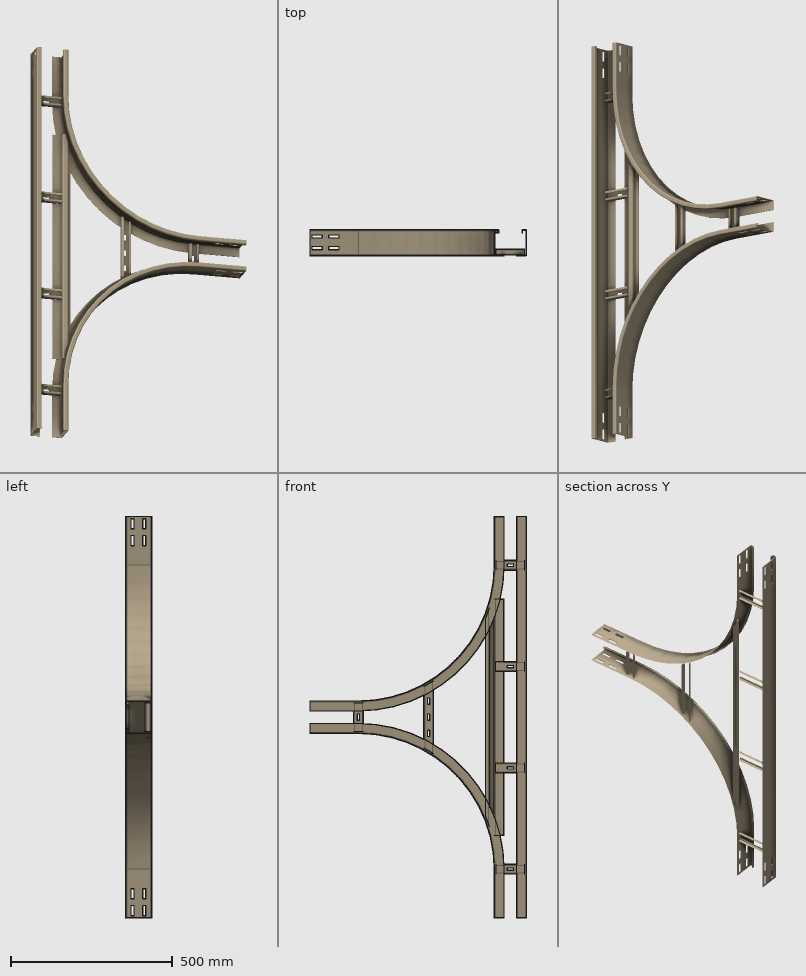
import cadquery as cq
import math

SHEET = 2.0
BEND = 1.5
TRAY_LENGTH = 1240.0
TRAY_DEPTH = 670.0
TRAY_WIDTH = 100.0
ARM_LENGTH = 150.0

RAIL_HEIGHT = 80.0
RAIL_FLANGE = 31.0
RAIL_LIP = 15.0
RAIL_RETURN = 10.0

WEB_SLOT_LENGTH = 31.0
WEB_SLOT_WIDTH = 9.0
WEB_SLOT_HEIGHTS = (24.0, 60.0)
WEB_SLOT_FROM_END = (22.0, 75.0)

WEB_CLEARANCE = 6.0

RUNG_WIDTH = 31.0
RUNG_HEIGHT = 19.0
RUNG_LIP = 7.0
RUNG_SLOT_LENGTH = 19.0
RUNG_SLOT_WIDTH = 6.0
RUNG_SLOT_PITCH = 50.0
MIDDLE_RUNG_X = 367.0

BEAM_LENGTH = 729.0
BEAM_X = 542.0
BEAM_NARROW_FLANGE = 14.0
BEAM_GAP = 14.0
BEAM_WIDE_FLANGE = 30.0
BEAM_RUNG_SEAT = 25.0

HALF_WIDTH = TRAY_WIDTH / 2
CURVED_RAIL_X = TRAY_DEPTH - TRAY_WIDTH
CURVE_RADIUS = CURVED_RAIL_X - ARM_LENGTH
CURVE_Z = HALF_WIDTH + CURVE_RADIUS
BEAM_END_X = BEAM_X + BEAM_NARROW_FLANGE + BEAM_GAP + BEAM_WIDE_FLANGE
TRAY_CENTRE_X = TRAY_DEPTH - HALF_WIDTH
INNER_RUNG_PLACES = (CURVE_Z / 3, -CURVE_Z / 3)
SLOT_CUT = 8 * SHEET


def sheet_outline(plane, path):
    """Closed outline of a bent sheet lying to the left of a right-angled path.

    Both faces are followed from the start of the path: each bend has the inside radius
    on the side it turns to and the outside radius on the other.
    """
    steps = []
    for (u0, v0), (u1, v1) in zip(path, path[1:]):
        length = math.hypot(u1 - u0, v1 - v0)
        steps.append(((u1 - u0) / length, (v1 - v0) / length))
    normals = [(-dv, du) for du, dv in steps]

    def across(point, normal):
        return (point[0] + SHEET * normal[0], point[1] + SHEET * normal[1])

    inside, outside = BEND, BEND + SHEET
    right_side = [(*path[0], 0)]
    left_side = [(*across(path[0], normals[0]), 0)]
    for i in range(1, len(steps)):
        turns_left = steps[i - 1][0] * steps[i][1] - steps[i - 1][1] * steps[i][0] > 0
        left_corner = across(across(path[i], normals[i - 1]), normals[i])
        right_side.append((*path[i], outside if turns_left else inside))
        left_side.append((*left_corner, inside if turns_left else outside))
    right_side.append((*path[-1], 0))
    left_side.append((*across(path[-1], normals[-1]), 0))
    return rounded_outline(plane, right_side + left_side[::-1])


def toward(start, end, distance):
    """Point at a distance from start on the line to end."""
    share = distance / math.hypot(end[0] - start[0], end[1] - start[1])
    return (start[0] + share * (end[0] - start[0]), start[1] + share * (end[1] - start[1]))


def rounded_outline(plane, corners):
    """Closed outline through square corners (u, v, radius); the first has no radius."""
    outline = cq.Workplane(plane).moveTo(*corners[0][:2])
    for i in range(1, len(corners)):
        before, corner, after = corners[i - 1], corners[i], corners[(i + 1) % len(corners)]
        radius = corner[2]
        if radius == 0:
            outline = outline.lineTo(*corner[:2])
            continue
        arc_start = toward(corner, before, radius)
        arc_end = toward(corner, after, radius)
        chord_middle = ((arc_start[0] + arc_end[0]) / 2, (arc_start[1] + arc_end[1]) / 2)
        arc_middle = toward(corner, chord_middle, radius * (math.sqrt(2) - 1))
        outline = outline.lineTo(*arc_start).threePointArc(arc_middle, arc_end)
    return outline.close()


def rail_outline(plane):
    """Rail section: web on the plane's v axis, flanges toward +u."""
    path = [
        (RAIL_LIP, RAIL_HEIGHT - RAIL_RETURN),
        (RAIL_LIP, RAIL_HEIGHT),
        (0, RAIL_HEIGHT),
        (0, 0),
        (RAIL_FLANGE, 0),
    ]
    return sheet_outline(plane, path)


def web_slots(places, size_x, size_z):
    """Cutters for slots in a web, one at each (x, z) place and each slot height."""
    centres = [cq.Vector(x, y, z) for x, z in places for y in WEB_SLOT_HEIGHTS]
    return cq.Workplane("XY").newObject(centres).box(size_x, WEB_SLOT_WIDTH, size_z)


def curved_rail():
    """Rail of the upper side: branch arm, quarter bend and arm along Z."""
    branch_end = cq.Plane((0, 0, HALF_WIDTH), (0, 0, -1), (1, 0, 0))
    bend_start = cq.Plane((ARM_LENGTH, 0, HALF_WIDTH), (0, 0, -1), (1, 0, 0))
    bend_end = cq.Plane((CURVED_RAIL_X, 0, CURVE_Z), (1, 0, 0), (0, 0, 1))

    branch_arm = rail_outline(branch_end).extrude(ARM_LENGTH)
    bend = rail_outline(bend_start).revolve(90, (-CURVE_RADIUS, 0), (-CURVE_RADIUS, -1))
    upright_arm = rail_outline(bend_end).extrude(ARM_LENGTH)

    branch_places = [(d, HALF_WIDTH) for d in WEB_SLOT_FROM_END]
    upright_places = [(CURVED_RAIL_X, CURVE_Z + ARM_LENGTH - d) for d in WEB_SLOT_FROM_END]
    return (
        branch_arm.union(bend)
        .union(upright_arm)
        .cut(web_slots(branch_places, WEB_SLOT_LENGTH, SLOT_CUT))
        .cut(web_slots(upright_places, SLOT_CUT, WEB_SLOT_LENGTH))
    )


def straight_rail():
    """Rail along the back of the tee, with slots at both ends."""
    top_end = cq.Plane((TRAY_DEPTH, 0, TRAY_LENGTH / 2), (-1, 0, 0), (0, 0, -1))
    places = [(TRAY_DEPTH, side * (TRAY_LENGTH / 2 - d)) for side in (1, -1) for d in WEB_SLOT_FROM_END]
    rail = rail_outline(top_end).extrude(TRAY_LENGTH)
    return rail.cut(web_slots(places, SLOT_CUT, WEB_SLOT_LENGTH))


def rung_outline(plane):
    """Lipped channel section centred on the plane's v axis, open toward +v."""
    half = RUNG_WIDTH / 2
    path = [
        (RUNG_LIP - half, RUNG_HEIGHT),
        (-half, RUNG_HEIGHT),
        (-half, 0),
        (half, 0),
        (half, RUNG_HEIGHT),
        (half - RUNG_LIP, RUNG_HEIGHT),
    ]
    return sheet_outline(plane, path)


def cross_rung(start_x, z):
    """Rung along X that ends at the straight rail, slotted at the tray centre."""
    end_x = TRAY_DEPTH - WEB_CLEARANCE
    slot = cq.Workplane("XY").box(RUNG_SLOT_LENGTH, SLOT_CUT, RUNG_SLOT_WIDTH)
    plane = cq.Plane((start_x, SHEET, z), (0, 0, -1), (1, 0, 0))
    return rung_outline(plane).extrude(end_x - start_x).cut(slot.translate((TRAY_CENTRE_X, SHEET, z)))


def branch_rung(x, half_length, slot_places):
    """Rung along Z across the branch, with slots at the given Z places."""
    plane = cq.Plane((x, SHEET, -half_length), (1, 0, 0), (0, 0, 1))
    centres = [cq.Vector(x, SHEET, z) for z in slot_places]
    slots = cq.Workplane("XY").newObject(centres).box(RUNG_SLOT_WIDTH, SLOT_CUT, RUNG_SLOT_LENGTH)
    return rung_outline(plane).extrude(2 * half_length).cut(slots)


def trim_to_curves(body):
    """Cut away what would reach into the webs and bends of the curved rails."""
    for side in (1, -1):
        centre = (ARM_LENGTH, side * CURVE_Z)
        inside_curve = cq.Workplane("XZ").center(*centre).circle(CURVE_RADIUS + WEB_CLEARANCE)
        body = body.cut(inside_curve.extrude(-RAIL_HEIGHT))
    return body


def middle_rung():
    """Rung between the two bends; its ends follow the curved webs."""
    slot_places = [i * RUNG_SLOT_PITCH for i in (-1, 0, 1)]
    return trim_to_curves(branch_rung(MIDDLE_RUNG_X, CURVE_Z / 2, slot_places))


def hat_beam():
    """Hat section along Z between the bends, notched for the inner cross rungs."""
    crown = RUNG_HEIGHT - SHEET
    gap_start = BEAM_NARROW_FLANGE
    gap_end = BEAM_NARROW_FLANGE + BEAM_GAP
    path = [
        (0, 0),
        (gap_start, 0),
        (gap_start, crown),
        (gap_end, crown),
        (gap_end, 0),
        (gap_end + BEAM_WIDE_FLANGE, 0),
    ]
    plane = cq.Plane((BEAM_X, SHEET, -BEAM_LENGTH / 2), (1, 0, 0), (0, 0, 1))
    beam = sheet_outline(plane, path).extrude(BEAM_LENGTH)
    centres = [cq.Vector(BEAM_END_X, SHEET, z) for z in INNER_RUNG_PLACES]
    notches = cq.Workplane("XY").newObject(centres).box(2 * BEAM_RUNG_SEAT, SLOT_CUT, RUNG_WIDTH)
    return trim_to_curves(beam.cut(notches))


upper_rail = curved_rail()
lower_rail = upper_rail.mirror("XY")
back_rail = straight_rail()
outer_rungs = [cross_rung(CURVED_RAIL_X + WEB_CLEARANCE, z) for z in (CURVE_Z, -CURVE_Z)]
inner_rungs = [cross_rung(BEAM_END_X - BEAM_RUNG_SEAT, z) for z in INNER_RUNG_PLACES]
mouth_rung = branch_rung(ARM_LENGTH, HALF_WIDTH - WEB_CLEARANCE, [0])
bend_rung = middle_rung()
beam = hat_beam()

result = cq.Compound.makeCompound(
    [
        upper_rail.val(),
        lower_rail.val(),
        back_rail.val(),
        *[rung.val() for rung in outer_rungs],
        *[rung.val() for rung in inner_rungs],
        mouth_rung.val(),
        bend_rung.val(),
        beam.val(),
    ]
)